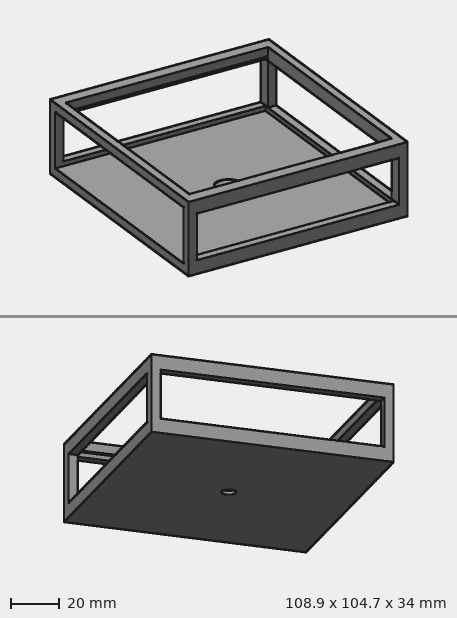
import cadquery as cq

length = 108.9
depth = 104.7
height = 34.0

wall = 4.1
opening_margin = 6.0
rail_height = 6.3
opening_depth = 96.7

hole_diameter = 6.0
countersink_diameter = 12.2
countersink_angle = 110.0
countersink_recess = 0.3

cavity_length = length - 2 * wall
cavity_height = height - 2 * wall
opening_length = length - 2 * opening_margin
window_top = height - rail_height

front = -depth / 2
back = depth / 2
cavity_back = back - wall
opening_front = -opening_depth / 2
opening_back = opening_depth / 2


def block(size_x, y_start, y_end, z_start, z_end):
    """Box centred on X between the given Y and Z limits."""
    return (
        cq.Workplane("XY")
        .box(size_x, y_end - y_start, z_end - z_start, centered=(True, False, False))
        .translate((0, y_start, z_start))
    )


frame = block(length, front, back, 0, height)

frame = frame.cut(block(cavity_length, front, cavity_back, wall, wall + cavity_height))

frame = frame.cut(block(opening_length, opening_front, opening_back, window_top, height))

frame = frame.cut(block(opening_length, cavity_back, back, rail_height, window_top))

frame = frame.cut(block(length, opening_front, opening_back, rail_height, window_top))

recess_bottom = wall - countersink_recess
recess = (
    cq.Workplane("XY", origin=(0, 0, recess_bottom))
    .circle(countersink_diameter / 2)
    .extrude(countersink_recess)
)
result = (
    frame.cut(recess)
    .copyWorkplane(cq.Workplane("XY", origin=(0, 0, recess_bottom)))
    .cskHole(hole_diameter, countersink_diameter, countersink_angle, depth=recess_bottom)
)